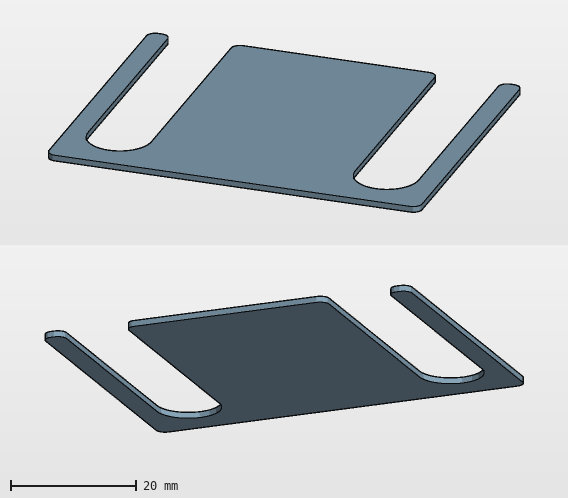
import cadquery as cq

length = 63.0
width = 50.0
thickness = 1.0
corner_radius = 1.5

slot_width = 10.7
slot_offset = 22.55
slot_floor = 4.7

slot_radius = slot_width / 2
slot_end_y = -width / 2 + slot_floor + slot_radius


def slot_cutter(center_x):
    """Straight channel to the +Y edge with a semicircular closed end."""
    left = center_x - slot_radius
    right = center_x + slot_radius
    return (
        cq.Workplane("XY")
        .moveTo(left, width / 2)
        .lineTo(left, slot_end_y)
        .threePointArc((center_x, slot_end_y - slot_radius), (right, slot_end_y))
        .lineTo(right, width / 2)
        .close()
        .extrude(thickness)
    )


plate = cq.Workplane("XY").box(length, width, thickness, centered=(True, True, False))
for side in (-1, 1):
    plate = plate.cut(slot_cutter(side * slot_offset))

outer_corners = plate.edges("|Z and (>Y or <Y)")
result = outer_corners.fillet(corner_radius)